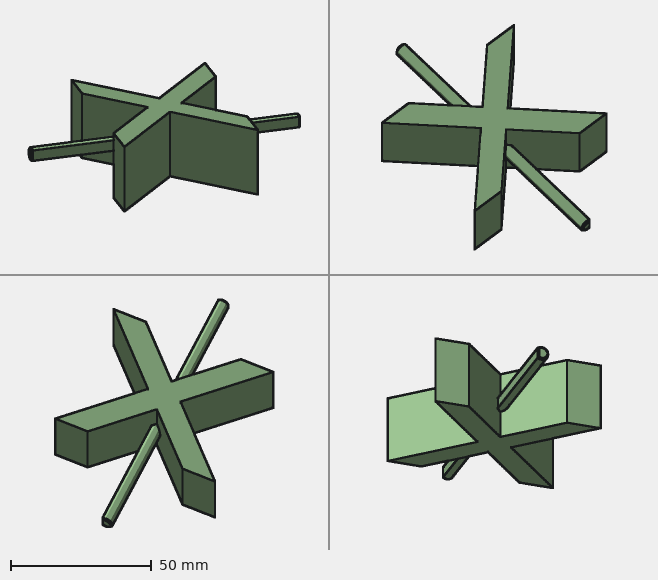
import cadquery as cq

hub_width = 62.4
hub_depth = 49.7
hub_height = 25.0
arm_end_width = 12.7

shaft_length = 100.0
shaft_radius = 2.5
flat_offset = 1.5
end_chamfer = 0.5


def make_shaft():
    """Round shaft along Y with a flat on its +X side and chamfered ends."""
    rod = cq.Workplane("XZ").circle(shaft_radius).extrude(shaft_length / 2, both=True)
    keep_width = shaft_radius + flat_offset
    keep = cq.Workplane("XY").box(keep_width, shaft_length, 2 * shaft_radius)
    keep = keep.translate(((flat_offset - shaft_radius) / 2, 0, 0))
    return rod.intersect(keep).faces("<Y or >Y").chamfer(end_chamfer)


def make_hub(shaft):
    """X-shaped block of two crossing slanted bars, with a bore fitting the shaft."""
    half_width = hub_width / 2
    half_depth = hub_depth / 2
    inner_tip_x = half_width - arm_end_width
    slope = hub_depth / (hub_width - arm_end_width)
    notch_x = arm_end_width / 2
    notch_y = slope * arm_end_width / 2
    outline = [
        (half_width, half_depth),
        (inner_tip_x, half_depth),
        (0, notch_y),
        (-inner_tip_x, half_depth),
        (-half_width, half_depth),
        (-notch_x, 0),
        (-half_width, -half_depth),
        (-inner_tip_x, -half_depth),
        (0, -notch_y),
        (inner_tip_x, -half_depth),
        (half_width, -half_depth),
        (notch_x, 0),
    ]
    block = cq.Workplane("XY").polyline(outline).close().extrude(hub_height / 2, both=True)
    return block.cut(shaft)


shaft = make_shaft()
hub = make_hub(shaft)

result = cq.Compound.makeCompound([hub.val(), shaft.val()])